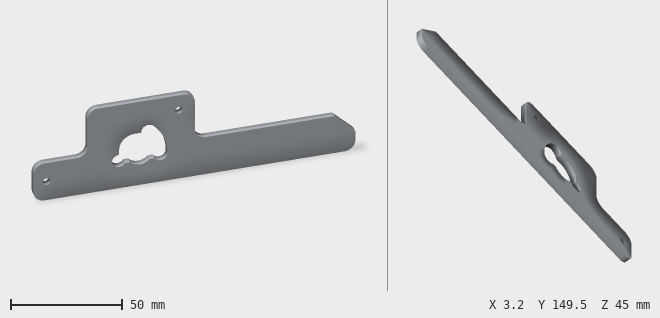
import cadquery as cq
import math

thickness = 3.2
length = 149.5
height = 45.0
bar_height = 20.0
tab_start = 25.0
tab_width = 50.0
tab_end = tab_start + tab_width
corner_radius = 5.0
end_chamfer = 10.0

hole_diameter = 3.5
hole_centres = [(6.1, 10.0), (67.5, 37.0)]

pivot_y = 39.75
pivot_z = 14.8
swing_radius = 19.25
swing_angle = math.radians(45.0)
slot_width = 6.6
slot_radius = slot_width / 2
body_length = 17.0
body_bottom = 13.1
body_top = 28.1
body_corner_radius = 7.3
relief_radius = 6.1
relief_bottom = 11.0


def swing_point(radius, angle):
    """Point at a given radius and angle about the pivot; angle 0 points along +Y."""
    return (pivot_y + radius * math.cos(angle), pivot_z + radius * math.sin(angle))


def extrude_disc(centre, radius):
    return cq.Workplane("YZ").center(*centre).circle(radius).extrude(thickness)


def make_plate():
    """Long bar with a raised tab, rounded corners and one chamfered end."""
    plate = (
        cq.Workplane("YZ")
        .moveTo(0, 0)
        .lineTo(length, 0)
        .lineTo(length, bar_height - end_chamfer)
        .lineTo(length - end_chamfer, bar_height)
        .lineTo(tab_end, bar_height)
        .lineTo(tab_end, height)
        .lineTo(tab_start, height)
        .lineTo(tab_start, bar_height)
        .lineTo(0, bar_height)
        .close()
        .extrude(thickness)
    )
    rounded_corners = [
        (0, 0),
        (length, 0),
        (tab_end, bar_height),
        (tab_end, height),
        (tab_start, height),
        (tab_start, bar_height),
        (0, bar_height),
    ]
    for y, z in rounded_corners:
        corner = cq.selectors.NearestToPointSelector((thickness / 2, y, z))
        plate = plate.edges("|X").edges(corner).fillet(corner_radius)
    return plate


def make_swing_slot():
    """Curved slot about the pivot with round ends."""
    inner = swing_radius - slot_radius
    outer = swing_radius + slot_radius
    slot = (
        cq.Workplane("YZ")
        .moveTo(*swing_point(outer, 0))
        .threePointArc(swing_point(outer, swing_angle / 2), swing_point(outer, swing_angle))
        .lineTo(*swing_point(inner, swing_angle))
        .threePointArc(swing_point(inner, swing_angle / 2), swing_point(inner, 0))
        .close()
        .extrude(thickness)
    )
    for angle in (0, swing_angle):
        slot = slot.union(extrude_disc(swing_point(swing_radius, angle), slot_radius))
    return slot


def make_body():
    """Rectangle beside the pivot with its upper corner on the pivot side rounded."""
    body = (
        cq.Workplane("YZ")
        .moveTo(pivot_y, body_bottom)
        .lineTo(pivot_y + body_length, body_bottom)
        .lineTo(pivot_y + body_length, body_top)
        .lineTo(pivot_y, body_top)
        .close()
        .extrude(thickness)
    )
    corner = cq.selectors.NearestToPointSelector((thickness / 2, pivot_y, body_top))
    return body.edges("|X").edges(corner).fillet(body_corner_radius)


def make_window():
    relief_centre = (pivot_y + swing_radius / 2, relief_bottom + relief_radius)
    window = make_swing_slot().union(make_body())
    window = window.union(extrude_disc((pivot_y, pivot_z), slot_radius))
    return window.union(extrude_disc(relief_centre, relief_radius))


result = make_plate().cut(make_window())
for centre in hole_centres:
    result = result.cut(extrude_disc(centre, hole_diameter / 2))